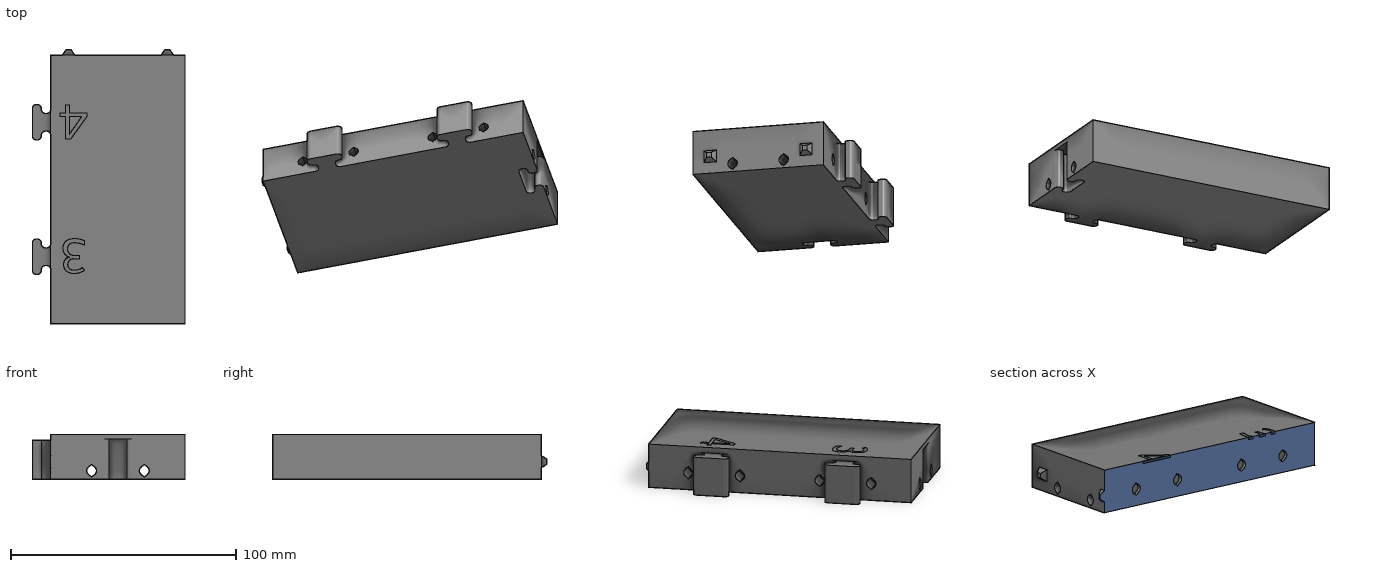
import cadquery as cq
import math

BOARD_WIDTH = 59.8
BOARD_LENGTH = 119.5
BOARD_HEIGHT = 20.0
LEFT_FACE = -BOARD_WIDTH / 2
FRONT_FACE = -BOARD_LENGTH / 2
BACK_FACE = BOARD_LENGTH / 2

TAB_REACH = 8.2
TAB_HEIGHT = 17.4
SLOT_HEIGHT = 17.9
HEAD_WIDTH = 15.9
HEAD_THICKNESS = 4.0
HEAD_ROUNDING = 1.8
NECK_WIDTH = 7.9
ROOT_FILLET = 1.8
TAB_CENTRES_Y = (-BOARD_LENGTH / 4, BOARD_LENGTH / 4)

HOLE_DIAMETER = 4.3
HOLE_HEIGHT = 5.5
HOLE_OFFSET = 11.7
FRONT_HOLE_Z = 3.8
SIDE_HOLE_Z = 7.8
SIDE_HOLE_DEPTH = 9.8

STUD_OFFSET = 22.0
STUD_Z = SIDE_HOLE_Z
STUD_BASE_WIDTH = 5.6
STUD_BASE_HEIGHT = 5.5
STUD_TIP = 2.2
STUD_REACH = 2.4

DIGIT_DEPTH = 1.0


def connector(height):
    """T-shaped column reaching from the plane X = 0 to -X, centred on Y = 0."""
    half_neck = NECK_WIDTH / 2
    half_head = HEAD_WIDTH / 2
    half_root = half_neck + ROOT_FILLET
    head_back = -TAB_REACH + HEAD_THICKNESS
    arc_inset = ROOT_FILLET * (1 - math.sqrt(0.5))
    upper_half = (
        cq.Workplane("XY")
        .lineTo(0, half_root)
        .threePointArc((-arc_inset, half_neck + arc_inset), (-ROOT_FILLET, half_neck))
        .lineTo(head_back + ROOT_FILLET, half_neck)
        .threePointArc((head_back + arc_inset, half_neck + arc_inset), (head_back, half_root))
        .lineTo(head_back, half_head)
        .lineTo(-TAB_REACH, half_head)
        .lineTo(-TAB_REACH, 0)
        .close()
        .extrude(height)
    )
    upper_half = upper_half.faces(">Y").edges("|Z").fillet(HEAD_ROUNDING)
    return upper_half.union(upper_half.mirror("XZ"))


def pointed_hole(length):
    """Cutter along +Y from Y = 0: a cylinder with tangent points up and down."""
    radius = HOLE_DIAMETER / 2
    apex = HOLE_HEIGHT / 2
    tangent_z = radius**2 / apex
    tangent_x = math.sqrt(radius**2 - tangent_z**2)
    return (
        cq.Workplane("XZ")
        .moveTo(0, apex)
        .lineTo(tangent_x, tangent_z)
        .threePointArc((radius, 0), (tangent_x, -tangent_z))
        .lineTo(0, -apex)
        .lineTo(-tangent_x, -tangent_z)
        .threePointArc((-radius, 0), (-tangent_x, tangent_z))
        .close()
        .extrude(-length)
    )


def stud():
    """Tapered rectangular stud growing from the back face along +Y."""
    return (
        cq.Workplane("XZ", origin=(0, BACK_FACE, STUD_Z))
        .rect(STUD_BASE_WIDTH, STUD_BASE_HEIGHT)
        .workplane(offset=-STUD_REACH)
        .rect(STUD_TIP, STUD_TIP)
        .loft(ruled=True)
    )


def make_board():
    board = cq.Workplane("XY").box(
        BOARD_WIDTH, BOARD_LENGTH, BOARD_HEIGHT, centered=(True, True, False)
    )

    slot = connector(SLOT_HEIGHT).rotate((0, 0, 0), (0, 0, 1), -90).translate((0, FRONT_FACE, 0))
    board = board.cut(slot)

    for side in (-1, 1):
        through_hole = pointed_hole(BOARD_LENGTH)
        board = board.cut(through_hole.translate((side * HOLE_OFFSET, FRONT_FACE, FRONT_HOLE_Z)))
        board = board.union(stud().translate((side * STUD_OFFSET, 0, 0)))

    tab = connector(TAB_HEIGHT)
    side_hole = pointed_hole(SIDE_HOLE_DEPTH).rotate((0, 0, 0), (0, 0, 1), -90)
    for tab_y in TAB_CENTRES_Y:
        board = board.union(tab.translate((LEFT_FACE, tab_y, 0)))
        for side in (-1, 1):
            hole_y = tab_y + side * HOLE_OFFSET
            board = board.cut(side_hole.translate((LEFT_FACE, hole_y, SIDE_HOLE_Z)))
    return board


def digit_plane(tab_y):
    """Floor of a digit's recess, with its origin at the left face beside a tab."""
    return cq.Workplane("XY", origin=(LEFT_FACE, tab_y, BOARD_HEIGHT - DIGIT_DEPTH))


def make_digit_three(tab_y):
    """Digit 3, turned by 180 degrees: two open bowls that meet at the waist."""
    return (
        digit_plane(tab_y)
        .moveTo(15.0, 7.1)
        .spline([(10.6, 8.0), (6.7, 6.8), (5.4, 3.8), (6.3, 1.1), (8.3, -0.2)], includeCurrent=True)
        .spline([(6.5, -1.2), (5.7, -3.2), (7.0, -6.3), (10.2, -7.4), (15.0, -6.0)], includeCurrent=True)
        .lineTo(14.0, -4.8)
        .spline([(10.2, -6.0), (8.4, -5.4), (7.5, -3.4), (8.5, -1.5), (10.6, -1.0)], includeCurrent=True)
        .lineTo(12.7, -1.0)
        .lineTo(12.7, 0.6)
        .lineTo(10.6, 0.6)
        .spline([(8.4, 1.3), (7.4, 3.3), (8.4, 5.6), (11.0, 6.2), (15.0, 5.1)], includeCurrent=True)
        .close()
        .extrude(DIGIT_DEPTH)
    )


def make_digit_four(tab_y):
    """Digit 4, turned by 180 degrees, with its triangular window."""
    outline = [
        (6.6, 7.7),
        (8.4, 7.7),
        (8.4, 4.1),
        (16.2, 4.1),
        (16.2, 2.7),
        (8.9, -7.4),
        (6.6, -7.4),
        (6.6, 2.5),
        (4.1, 2.5),
        (4.1, 4.1),
        (6.6, 4.1),
    ]
    window = [(8.3, 2.5), (13.8, 2.5), (8.3, -5.4)]
    return (
        digit_plane(tab_y)
        .polyline(outline)
        .close()
        .polyline(window)
        .close()
        .extrude(DIGIT_DEPTH)
    )


digit_three = make_digit_three(TAB_CENTRES_Y[0])
digit_four = make_digit_four(TAB_CENTRES_Y[1])
board = make_board().cut(digit_three).cut(digit_four)

result = cq.Compound.makeCompound([board.val(), digit_three.val(), digit_four.val()])